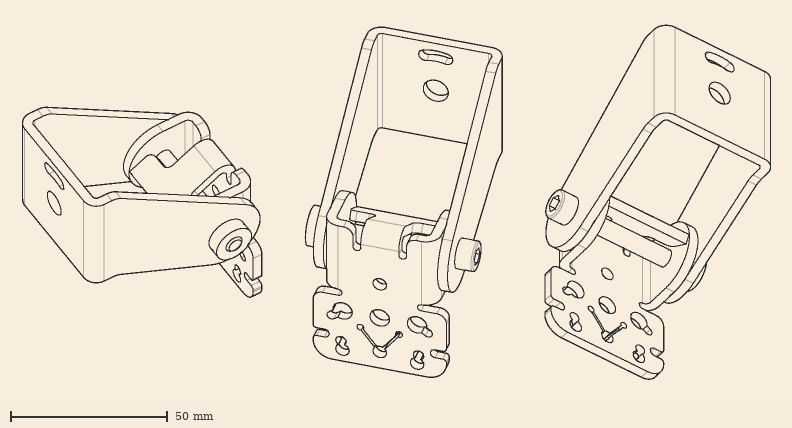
import cadquery as cq
import math


sheet = 3.35
outer_half_width = 22.4
mount_half_width = outer_half_width - sheet
inner_half_width = mount_half_width - sheet

shank_radius = 3.0
head_radius = 5.0
head_length = 5.9
head_rounding = 0.5
socket_flats = 5.0
socket_depth = 3.0
socket_turn = 9.5
nut_radius = 6.6
nut_length = 4.55
tip_chamfer = 0.7

outer_front = -50.8
outer_ear_radius = 12.7
outer_top = 44.4
outer_web_bottom = 6.3
outer_bend_radius = 4.7
ear_corner_y = -41.2
ear_corner_radius = 6.0
web_hole_diameter = 8.3
arc_slot_radius = 14.0
arc_slot_width = 4.1
arc_slot_half_angle = 15.0

mount_back = 13.5
mount_ear_radius = 12.8
mount_bend_radius = 5.15
notch_width = 2.6
notch_bottom = 4.3
notch_mouth_radius = 3.2

tongue_half_width = 6.35
tongue_angle = 30.0
tongue_end_y = -12.7
tongue_end_z = 0.9
tongue_gap = 0.1
wide_end_length = 9.6
tongue_corner_radius = 2.6

plate_half_width = 22.2
plate_bottom = -41.5
relief_width = 2.4
relief_inner_x = 12.6
plate_top_radius = 3.2
plate_bottom_radius = 6.4
side_slot_z = -31.5
side_slot_width = 3.1
side_slot_inner_x = 16.9
side_slot_mouth_radius = 1.2
small_hole_diameter = 4.5
upper_hole_z = -7.6
large_hole_diameter = 6.4
large_hole_z = -21.2
keyhole_x = 12.45
keyhole_reach = 4.5
keyhole_angle = 35.0
keyhole_slot_width = 2.9
vee_hole_z = -34.9
vee_end_x = 6.4
vee_end_z = -26.4
vee_end_diameter = 2.2
vee_slit_width = 0.9
pair_large_x = 12.45
pair_large_z = -36.8
pair_small_x = 13.0
pair_small_z = -33.4
pair_small_diameter = 3.4

FAR = 171.7
plate_top = -mount_ear_radius - relief_width


def x_cylinder(radius, x_start, x_end):
    """Solid cylinder on the bolt axis."""
    return cq.Workplane("YZ").workplane(offset=x_start).circle(radius).extrude(x_end - x_start)


def box_between(x_range, y_range, z_range):
    """Box given by its lower and upper limit along each axis."""
    limits = (x_range, y_range, z_range)
    lengths = [high - low for low, high in limits]
    corner = cq.Vector(*[low for low, high in limits])
    return cq.Workplane(cq.Solid.makeBox(*lengths, pnt=corner))


def y_hole(x, z, diameter):
    """Cutter along Y, long enough to pass through any sheet."""
    return cq.Workplane("XZ", origin=(x, 0, z)).circle(diameter / 2).extrude(FAR, both=True)


def y_slot(start, end, width):
    """Cutter along Y for a round-ended slot between two centres given as (x, z)."""
    dx = end[0] - start[0]
    dz = end[1] - start[1]
    middle = ((start[0] + end[0]) / 2, (start[1] + end[1]) / 2)
    return (
        cq.Workplane("XZ", origin=(middle[0], 0, middle[1]))
        .slot2D(math.hypot(dx, dz) + width, width, math.degrees(math.atan2(dz, dx)))
        .extrude(FAR, both=True)
    )


def ear_tangent_point(corner, side):
    """Point where the line from a (y, z) corner touches the ear circle; side is +1 above, -1 below."""
    distance = math.hypot(*corner)
    angle = math.atan2(corner[1], corner[0]) - side * math.acos(outer_ear_radius / distance)
    return outer_ear_radius * math.cos(angle), outer_ear_radius * math.sin(angle)


def web_only(cutter):
    """Part of a cutter in front of the ears."""
    return cutter.intersect(box_between((-FAR, FAR), (-FAR, ear_corner_y), (-FAR, FAR)))


def arc_slot(centre_z):
    """Cutter for the slot that curves about the web hole."""
    half_angle = math.radians(arc_slot_half_angle)
    inner = arc_slot_radius - arc_slot_width / 2
    outer = arc_slot_radius + arc_slot_width / 2

    def at(radius, angle):
        return radius * math.sin(angle), radius * math.cos(angle)

    band = (
        cq.Workplane("XZ", origin=(0, 0, centre_z))
        .moveTo(*at(outer, -half_angle))
        .threePointArc((0, outer), at(outer, half_angle))
        .lineTo(*at(inner, half_angle))
        .threePointArc((0, inner), at(inner, -half_angle))
        .close()
        .extrude(FAR, both=True)
    )
    for angle in (-half_angle, half_angle):
        x, z = at(arc_slot_radius, angle)
        band = band.union(y_hole(x, centre_z + z, arc_slot_width))
    return band


def make_outer_bracket():
    height = outer_top + outer_ear_radius
    length = outer_ear_radius - outer_front
    middle_y = (outer_ear_radius + outer_front) / 2

    outside = (
        cq.Workplane("XY", origin=(0, middle_y, -outer_ear_radius))
        .rect(2 * outer_half_width, length)
        .extrude(height)
        .edges("|Z and <Y")
        .fillet(outer_bend_radius)
    )
    inside = (
        cq.Workplane("XY", origin=(0, middle_y + sheet, -outer_ear_radius))
        .rect(2 * mount_half_width, length)
        .extrude(height)
        .edges("|Z and <Y")
        .fillet(outer_bend_radius - sheet)
    )

    top_corner = (ear_corner_y, outer_top)
    low_corner = (ear_corner_y, outer_web_bottom)
    profile = (
        cq.Workplane("YZ")
        .moveTo(outer_front, outer_top)
        .lineTo(*top_corner)
        .lineTo(*ear_tangent_point(top_corner, 1))
        .threePointArc((outer_ear_radius, 0), ear_tangent_point(low_corner, -1))
        .lineTo(*low_corner)
        .lineTo(outer_front, outer_web_bottom)
        .close()
        .extrude(outer_half_width, both=True)
    )
    for corner in (top_corner, low_corner):
        profile = profile.edges(cq.NearestToPointSelector((0, *corner))).fillet(ear_corner_radius)
    bracket = outside.cut(inside).intersect(profile)

    hole_z = (outer_top + outer_web_bottom) / 2
    bracket = bracket.cut(web_only(y_hole(0, hole_z, web_hole_diameter)))
    bracket = bracket.cut(web_only(arc_slot(hole_z)))
    return bracket.cut(x_cylinder(shank_radius, -FAR, FAR))


def mount_channel():
    """U-shaped part of the mounting bracket, open towards -Y, with round ear ends."""
    length = mount_back + mount_ear_radius
    middle_y = (mount_back - mount_ear_radius) / 2
    outside = (
        cq.Workplane("XY", origin=(0, middle_y, -mount_ear_radius))
        .rect(2 * mount_half_width, length)
        .extrude(2 * mount_ear_radius)
        .edges("|Z and >Y")
        .fillet(mount_bend_radius)
    )
    inside = (
        cq.Workplane("XY", origin=(0, middle_y - sheet, -mount_ear_radius))
        .rect(2 * inner_half_width, length)
        .extrude(2 * mount_ear_radius)
        .edges("|Z and >Y")
        .fillet(mount_bend_radius - sheet)
    )
    ears = x_cylinder(mount_ear_radius, -FAR, FAR).union(
        box_between((-FAR, FAR), (0, mount_back), (-mount_ear_radius, mount_ear_radius))
    )
    return outside.cut(inside).intersect(ears)


def tongue_opening(bend_z):
    """Cutter for the web above the bend: a notch on each side of the tongue and a rounded mouth."""
    notch_outer_x = tongue_half_width + notch_width
    mouth_x = notch_outer_x + notch_mouth_radius
    mouth_z = mount_ear_radius - notch_mouth_radius
    diagonal = notch_mouth_radius * math.sqrt(0.5)
    round_z = notch_bottom + notch_width / 2
    half = (
        cq.Workplane("XZ")
        .moveTo(0, bend_z)
        .lineTo(tongue_half_width, bend_z)
        .lineTo(tongue_half_width, round_z)
        .threePointArc((tongue_half_width + notch_width / 2, notch_bottom), (notch_outer_x, round_z))
        .lineTo(notch_outer_x, mouth_z)
        .threePointArc((mouth_x - diagonal, mouth_z + diagonal), (mouth_x, mount_ear_radius))
        .lineTo(0, mount_ear_radius)
        .close()
        .extrude(-mount_back)
    )
    return half.union(half.mirror("YZ"))


def make_tongue(bend_y, bend_z):
    """Strip that curls over from the web about (bend_y, bend_z) and slopes down to a wide end."""
    slope = math.radians(tongue_angle)
    down_slope = (-math.cos(slope), -math.sin(slope))
    normal = (-math.sin(slope), math.cos(slope))
    bend_inside = mount_bend_radius - sheet
    half_bend = (math.pi / 2 + slope) / 2

    def on_bend(radius, angle):
        return bend_y + radius * math.cos(angle), bend_z + radius * math.sin(angle)

    tip_top = (tongue_end_y, tongue_end_z)
    tip_bottom = (tip_top[0] - sheet * normal[0], tip_top[1] - sheet * normal[1])
    side = (
        cq.Workplane("YZ")
        .moveTo(*on_bend(mount_bend_radius, 0))
        .threePointArc(on_bend(mount_bend_radius, half_bend), on_bend(mount_bend_radius, 2 * half_bend))
        .lineTo(*tip_top)
        .lineTo(*tip_bottom)
        .lineTo(*on_bend(bend_inside, 2 * half_bend))
        .threePointArc(on_bend(bend_inside, half_bend), on_bend(bend_inside, 0))
        .close()
    )
    neck = side.extrude(tongue_half_width, both=True)

    face = cq.Plane(origin=(0, *tip_top), xDir=(-1, 0, 0), normal=(0, *normal))
    end_half_width = inner_half_width - tongue_gap
    wide_end = (
        cq.Workplane(face)
        .center(0, -wide_end_length / 2)
        .rect(2 * end_half_width, wide_end_length)
        .extrude(-sheet)
    )

    shoulder_y = tip_top[0] - wide_end_length * down_slope[0] - sheet / 2 * normal[0]
    shoulder_z = tip_top[1] - wide_end_length * down_slope[1] - sheet / 2 * normal[1]
    tongue = neck.union(wide_end)
    for corner_x in (end_half_width, tongue_half_width):
        for side_sign in (-1, 1):
            corner = cq.NearestToPointSelector((side_sign * corner_x, shoulder_y, shoulder_z))
            tongue = tongue.edges(corner).fillet(tongue_corner_radius)
    return tongue


def mount_plate():
    """Flat plate with its neck and all of its holes."""
    front = mount_back - sheet
    plate = box_between(
        (-plate_half_width, plate_half_width), (front, mount_back), (plate_bottom, plate_top)
    )
    plate = plate.edges("|Y and >Z").fillet(plate_top_radius)
    plate = plate.edges("|Y and <Z").fillet(plate_bottom_radius)

    for side in (-1, 1):
        slot_end = (side * (side_slot_inner_x + side_slot_width / 2), side_slot_z)
        plate = plate.cut(y_slot(slot_end, (side * FAR, side_slot_z), side_slot_width))
        for edge in (-1, 1):
            mouth = (side * plate_half_width, front + sheet / 2, side_slot_z + edge * side_slot_width / 2)
            plate = plate.edges(cq.NearestToPointSelector(mouth)).fillet(side_slot_mouth_radius)

    relief_z = plate_top + relief_width / 2
    neck_half_width = relief_inner_x + relief_width / 2
    neck = box_between(
        (-neck_half_width, neck_half_width), (front, mount_back), (plate_top, -mount_ear_radius)
    )
    for side in (-1, 1):
        neck = neck.cut(y_hole(side * neck_half_width, relief_z, relief_width))
    plate = plate.union(neck)

    plate = plate.cut(y_hole(0, large_hole_z, large_hole_diameter))
    plate = plate.cut(y_hole(0, vee_hole_z, small_hole_diameter))

    reach_x = keyhole_reach * math.cos(math.radians(keyhole_angle))
    reach_z = keyhole_reach * math.sin(math.radians(keyhole_angle))
    for side in (-1, 1):
        keyhole = (side * keyhole_x, large_hole_z)
        keyhole_end = (side * (keyhole_x + reach_x), large_hole_z - reach_z)
        vee_end = (side * vee_end_x, vee_end_z)
        cutters = (
            y_hole(*keyhole, large_hole_diameter),
            y_slot(keyhole, keyhole_end, keyhole_slot_width),
            y_hole(*vee_end, vee_end_diameter),
            y_slot((0, vee_hole_z), vee_end, vee_slit_width),
            y_hole(side * pair_large_x, pair_large_z, small_hole_diameter),
            y_hole(side * pair_small_x, pair_small_z, pair_small_diameter),
        )
        for cutter in cutters:
            plate = plate.cut(cutter)
    return plate


def make_mount_bracket():
    slope = math.radians(tongue_angle)
    bend_y = mount_back - mount_bend_radius
    tangent_y = bend_y - mount_bend_radius * math.sin(slope)
    tangent_z = tongue_end_z + (tangent_y - tongue_end_y) * math.tan(slope)
    bend_z = tangent_z - mount_bend_radius * math.cos(slope)

    bracket = mount_channel().cut(tongue_opening(bend_z))
    bracket = bracket.union(make_tongue(bend_y, bend_z)).union(mount_plate())
    bracket = bracket.cut(y_hole(0, upper_hole_z, small_hole_diameter))
    return bracket.cut(x_cylinder(shank_radius, -FAR, FAR))


def make_bolt():
    tip_x = outer_half_width + nut_length + tip_chamfer
    head_end = -outer_half_width - head_length
    shank = x_cylinder(shank_radius, -outer_half_width, tip_x).faces(">X").chamfer(tip_chamfer)
    head = x_cylinder(head_radius, head_end, -outer_half_width).faces("<X").edges().fillet(head_rounding)
    socket = (
        cq.Workplane("YZ", origin=(head_end, 0, 0))
        .transformed(rotate=(0, 0, 90 - socket_turn))
        .polygon(6, socket_flats / math.cos(math.pi / 6))
        .extrude(socket_depth)
    )
    return head.cut(socket).union(shank)


def make_nut():
    nut_end = outer_half_width + nut_length
    body = x_cylinder(nut_radius, outer_half_width, nut_end)
    return body.cut(x_cylinder(shank_radius, outer_half_width, nut_end))


outer_bracket = make_outer_bracket()
mount_bracket = make_mount_bracket()
bolt = make_bolt()
nut = make_nut()

result = cq.Compound.makeCompound([outer_bracket.val(), mount_bracket.val(), bolt.val(), nut.val()])